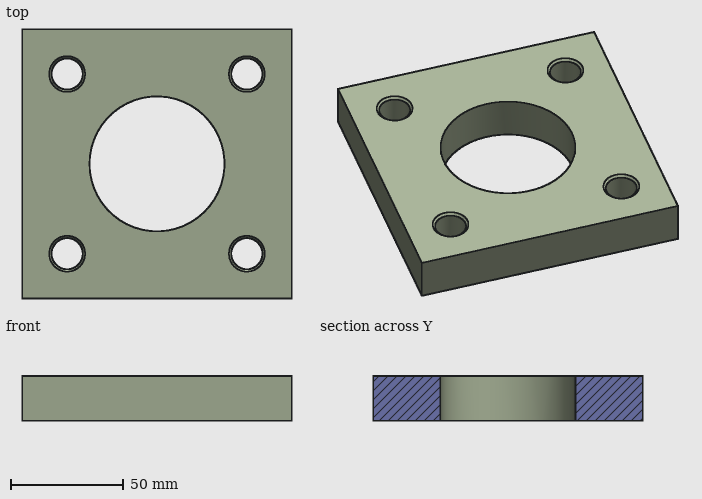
import cadquery as cq

side = 120.0
thickness = 20.0

bore_diameter = side / 2

hole_spacing = side * 2 / 3
hole_diameter = 13.8
rim_diameter = 16.0
rim_cone_angle = 90

plate = cq.Workplane("XY").box(side, side, thickness, centered=(True, True, False))
bored_plate = plate.faces(">Z").workplane().hole(bore_diameter)

result = (
    bored_plate.faces(">Z")
    .workplane()
    .rect(hole_spacing, hole_spacing, forConstruction=True)
    .vertices()
    .cskHole(hole_diameter, rim_diameter, rim_cone_angle)
)